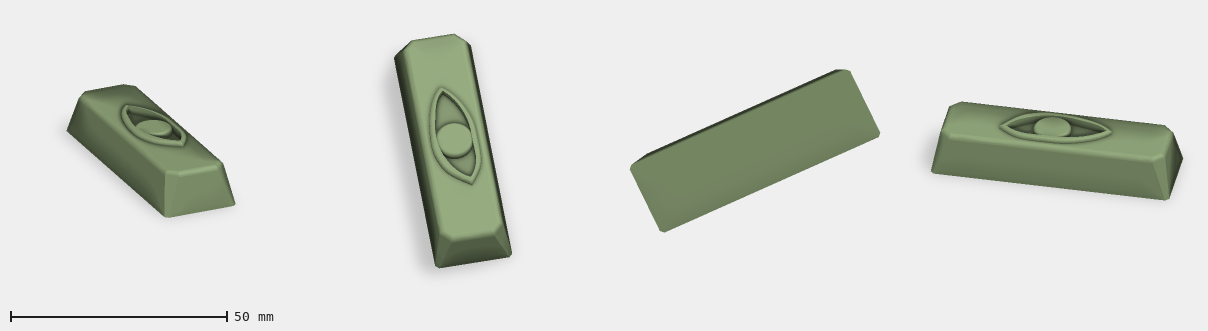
import cadquery as cq
import math

length = 56.2
width = 18.1
body_height = 10.0
draft_angle = 10.0
base_corner_leg = 0.8
top_corner_leg = 2.6
top_edge_radius = 1.3

rim_top = 11.02
crest_radius = 0.75
floor_level = 9.0
pupil_center = (1.07, 0.12)
pupil_diameter = 8.7
pupil_top = 10.75

outer_left_tip = (-12.9, -0.72)
outer_right_tip = (13.28, 2.14)
outer_upper_lid = [
    (-10.36, 1.99), (-6.13, 4.31), (-2.54, 5.35), (1.5, 5.56),
    (5.5, 5.54), (8.67, 5.03), (10.8, 3.93),
]
outer_lower_lid = [
    (10.8, -1.29), (8.67, -3.36), (6.55, -4.42), (3.6, -5.26),
    (1.06, -5.37), (-6.1, -4.42), (-10.36, -2.8),
]

inner_left_tip = (-11.55, -0.34)
inner_right_tip = (11.5, 2.14)
inner_upper_lid = [
    (-9.3, 1.5), (-5.07, 3.5), (-1.06, 4.2), (3.0, 4.2),
    (6.98, 4.18), (9.1, 3.6),
]
inner_lower_lid = [
    (10.4, 0.44), (6.55, -2.4), (4.0, -3.4), (1.9, -3.8),
    (-2.3, -3.8), (-5.5, -3.15), (-9.7, -1.88),
]


def clipped_rectangle(plane, size_x, size_y, leg):
    """Closed rectangle whose corners are cut at 45 degrees by the given leg."""
    x = size_x / 2
    y = size_y / 2
    points = [
        (x - leg, y), (leg - x, y), (-x, y - leg), (-x, leg - y),
        (leg - x, -y), (x - leg, -y), (x, leg - y), (x, y - leg),
    ]
    return plane.polyline(points).close()


def make_body():
    """Loft between two clipped rectangles, with the top edges rounded."""
    inset = body_height * math.tan(math.radians(draft_angle))
    base = clipped_rectangle(cq.Workplane("XY"), length, width, base_corner_leg)
    top_plane = base.workplane(offset=body_height)
    top = clipped_rectangle(top_plane, length - 2 * inset, width - 2 * inset, top_corner_leg)
    body = top.loft(ruled=True, combine=True)
    return body.faces(">Z").edges().fillet(top_edge_radius)


def eye_prism(left_tip, upper_lid, right_tip, lower_lid):
    """Upright solid from the sunken floor to the rim top, bounded by the two lid curves."""
    outline = (
        cq.Workplane("XY", origin=(0, 0, floor_level))
        .moveTo(*left_tip)
        .spline(upper_lid + [right_tip], includeCurrent=True)
        .spline(lower_lid + [left_tip], includeCurrent=True)
        .close()
    )
    return outline.extrude(rim_top - floor_level)


def make_rim():
    """Solid eye whose outer top edge is rounded; the opening is cut from it later."""
    rim = eye_prism(outer_left_tip, outer_upper_lid, outer_right_tip, outer_lower_lid)
    return rim.faces(">Z").edges().fillet(crest_radius)


def make_opening():
    """Inner eye shape, reaching from the sunken floor up through the rim."""
    return eye_prism(inner_left_tip, inner_upper_lid, inner_right_tip, inner_lower_lid)


def make_pupil():
    """Round boss standing on the sunken floor, with a rounded top edge."""
    pupil = cq.Workplane("XY", origin=(*pupil_center, floor_level)).circle(pupil_diameter / 2)
    return pupil.extrude(pupil_top - floor_level).faces(">Z").edges().fillet(crest_radius)


result = make_body().union(make_rim()).cut(make_opening()).union(make_pupil())